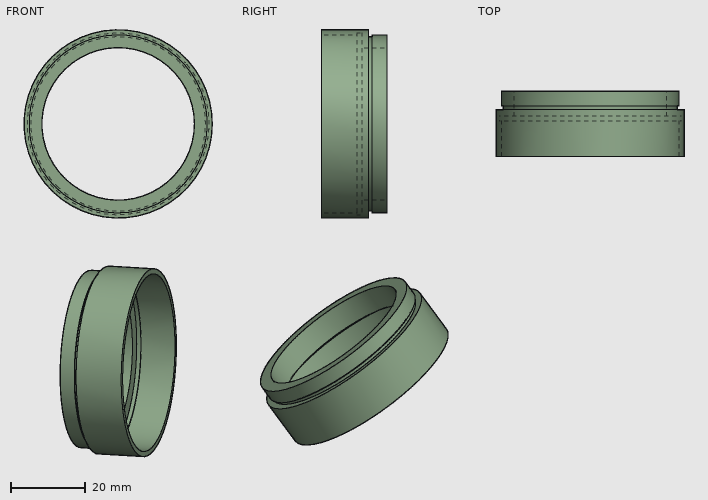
import cadquery as cq

length = 17.7
body_diameter = 50.8
body_length = 12.7
neck_diameter = 47.05
neck_length = 0.95
collar_diameter = 48.0
bore_diameter = 41.05
socket_diameter = 48.0
socket_depth = 10.9
relief_diameter = 49.0
relief_width = 1.3

front_y = -length / 2
body_end_y = front_y + body_length
neck_end_y = body_end_y + neck_length
back_y = length / 2
shoulder_y = front_y + socket_depth


def cylinder(diameter, start_y, end_y):
    """Solid cylinder on the Y axis between two Y positions."""
    base = cq.Workplane("XZ", origin=(0, start_y, 0))
    return base.circle(diameter / 2).extrude(start_y - end_y)


body = cylinder(body_diameter, front_y, body_end_y)
neck = cylinder(neck_diameter, body_end_y, neck_end_y)
collar = cylinder(collar_diameter, neck_end_y, back_y)

bore = cylinder(bore_diameter, front_y, back_y)
socket = cylinder(socket_diameter, front_y, shoulder_y)

relief = cylinder(relief_diameter, shoulder_y - relief_width, shoulder_y)

result = body.union(neck).union(collar).cut(bore).cut(socket).cut(relief)